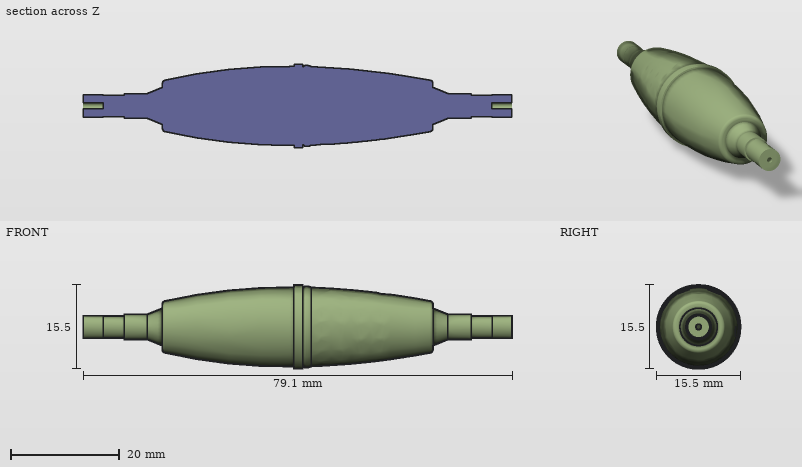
import cadquery as cq
import math

total_length = 79.07
half_length = total_length / 2

tip_radius = 2.1
cable_radius = 2.05
bore_radius = 0.5
cable_tip_length = 3.7
sleeve_radius = 2.34
sleeve_outer_x = 32.0
sleeve_inner_x = 27.7
cone_base_radius = 3.45

body_end_x = 24.96
body_end_radius = 4.8
end_round_length = 0.58
end_round_height = 0.75

left_mid_x = -13.2
left_mid_radius = 6.72
left_inner_radius = 7.33

collar_left_x = -0.7
collar_right_x = 0.97
collar_radius = 15.49 / 2

lip_radius = 7.53
lip_round = 0.55
lip_crest_x = collar_right_x + lip_round
lip_mid_x = 2.05
lip_mid_radius = 7.47
lip_foot_x = 2.5
right_inner_radius = 7.3
right_mid_x = 14.6
right_mid_radius = 6.33

label_left_x = 6.25
label_right_x = 21.65
label_width = 5.0

diagonal = math.sqrt(0.5)


def rounded_end_point(side):
    """Middle point of the round at the outer end of a shell."""
    x = body_end_x - end_round_length * (1 - diagonal)
    radius = body_end_radius - end_round_height * (1 - diagonal)
    return (side * x, radius)


def make_left_shell():
    face_radius = body_end_radius - end_round_height
    profile = (
        cq.Workplane("XY")
        .moveTo(-body_end_x, 0)
        .lineTo(-body_end_x, face_radius)
        .threePointArc(rounded_end_point(-1), (end_round_length - body_end_x, body_end_radius))
        .threePointArc((left_mid_x, left_mid_radius), (collar_left_x, left_inner_radius))
        .lineTo(collar_left_x, 0)
        .close()
    )
    return profile.revolve(360, (0, 0, 0), (1, 0, 0))


def make_right_shell():
    face_radius = body_end_radius - end_round_height
    lip_round_middle = (
        collar_right_x + lip_round * (1 - diagonal),
        lip_radius - lip_round * (1 - diagonal),
    )
    profile = (
        cq.Workplane("XY")
        .moveTo(collar_right_x, 0)
        .lineTo(collar_right_x, lip_radius - lip_round)
        .threePointArc(lip_round_middle, (lip_crest_x, lip_radius))
        .threePointArc((lip_mid_x, lip_mid_radius), (lip_foot_x, right_inner_radius))
        .threePointArc((right_mid_x, right_mid_radius), (body_end_x - end_round_length, body_end_radius))
        .threePointArc(rounded_end_point(1), (body_end_x, face_radius))
        .lineTo(body_end_x, 0)
        .close()
    )
    return profile.revolve(360, (0, 0, 0), (1, 0, 0))


def make_collar():
    length = collar_right_x - collar_left_x
    return cq.Workplane("YZ", origin=(collar_left_x, 0, 0)).circle(collar_radius).extrude(length)


def make_cable_end():
    """Cone, sleeve and bored cable tip at the +X end."""
    profile = (
        cq.Workplane("XY")
        .moveTo(body_end_x, 0)
        .lineTo(body_end_x, cone_base_radius)
        .lineTo(sleeve_inner_x, sleeve_radius)
        .lineTo(sleeve_outer_x, sleeve_radius)
        .lineTo(sleeve_outer_x, cable_radius)
        .lineTo(half_length - cable_tip_length, cable_radius)
        .lineTo(half_length - cable_tip_length, tip_radius)
        .lineTo(half_length, tip_radius)
        .lineTo(half_length, bore_radius)
        .lineTo(half_length - cable_tip_length, bore_radius)
        .lineTo(half_length - cable_tip_length, 0)
        .close()
    )
    return profile.revolve(360, (0, 0, 0), (1, 0, 0))


def make_label_region(shell):
    """Part of the right shell under the label outline."""
    length = label_right_x - label_left_x
    middle_x = (label_left_x + label_right_x) / 2
    prism = cq.Workplane("XY").center(middle_x, 0).rect(length, label_width).extrude(collar_radius)
    return shell.intersect(prism)


right_shell = make_right_shell()
label = make_label_region(right_shell)
cable_end = make_cable_end()

result = make_left_shell().union(make_collar()).union(right_shell.cut(label))
result = result.union(cable_end).union(cable_end.mirror("YZ"))
result = result.union(label, clean=False)